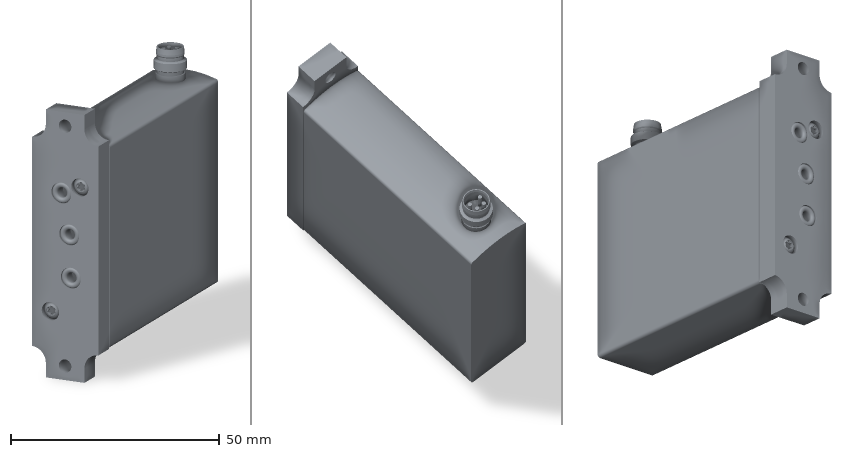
import cadquery as cq
import math

plate_width = 17.8
plate_height = 67.25
plate_thickness = 5.8
shoulder_height = 7.4
corner_notch_radius = 3.7
mount_hole_diameter = 3.3
mount_hole_end_distance = 3.5

overall_depth = 65.8
body_bottom = shoulder_height
body_top = plate_height - shoulder_height
crown_rise = 1.5
corner_radius = 0.75
seam_depth = 0.2
seam_length = 0.3

connector_y = 57.8
connector_top = 67.85
base_radius = 7.2 / 2
base_top = 61.3
neck_radius = 6.5 / 2
collar_radius = 8.0 / 2
collar_bottom = 62.5
collar_top = 64.5
collar_bevel_height = 0.35
lip_radius = 6.9 / 2
lip_bottom = 66.0
lip_top = 66.55
lip_bevel_height = 0.3
bore_radius = 5.8 / 2
bore_mouth_radius = 6.1 / 2
bore_lead_in = 0.7
bore_depth = 4.1
pin_diameter = 1.0
pin_recess = 0.6
pin_root = 0.35
pin_offsets = [(1.1, 1.5), (1.6, -0.5)]

ring_centres = [(-1.0, 46.8), (1.1, 36.6), (1.5, 25.8)]
ring_outer_diameter = 5.3
port_diameter = 2.5
port_depth = 3.4

screw_centres = [(3.95, 48.85), (-3.95, 16.75)]
screw_diameter = 4.6
dome_crown_depth = 0.15
dome_radius = 2.7
socket_mouth_diameter = 2.5
socket_mouth_depth = 0.7
socket_outer_diameter = 2.4
socket_core_diameter = 1.75
socket_lobe_diameter = 0.6
socket_lobes = 6
socket_depth = 1.5


def rod_from_front(x, z, diameter, length):
    """Cylinder along +Y that starts on the plate front."""
    return cq.Workplane("XZ", origin=(x, 0, z)).circle(diameter / 2).extrude(-length)


def make_plate():
    half = plate_width / 2
    neck = half - corner_notch_radius
    low_tangent = shoulder_height - corner_notch_radius
    high_tangent = plate_height - low_tangent
    high_shoulder = plate_height - shoulder_height
    diagonal = corner_notch_radius * math.sqrt(0.5)
    mid_x = half - diagonal
    low_mid = low_tangent + diagonal
    high_mid = high_tangent - diagonal

    plate = (
        cq.Workplane("XZ")
        .moveTo(-neck, 0)
        .lineTo(neck, 0)
        .lineTo(neck, low_tangent)
        .threePointArc((mid_x, low_mid), (half, shoulder_height))
        .lineTo(half, high_shoulder)
        .threePointArc((mid_x, high_mid), (neck, high_tangent))
        .lineTo(neck, plate_height)
        .lineTo(-neck, plate_height)
        .lineTo(-neck, high_tangent)
        .threePointArc((-mid_x, high_mid), (-half, high_shoulder))
        .lineTo(-half, shoulder_height)
        .threePointArc((-mid_x, low_mid), (-neck, low_tangent))
        .close()
        .extrude(-plate_thickness)
    )
    for z in (mount_hole_end_distance, plate_height - mount_hole_end_distance):
        plate = plate.cut(rod_from_front(0, z, mount_hole_diameter, plate_thickness))
    return plate


def make_body_block(inset, y_start, y_end):
    """Crowned bar with rounded long edges, its section shrunk by inset all round."""
    half = plate_width / 2 - inset
    bottom = body_bottom + inset
    top = body_top - inset
    crown_edge = top - crown_rise
    bar = (
        cq.Workplane("XZ", origin=(0, y_start, 0))
        .moveTo(-half, bottom)
        .lineTo(half, bottom)
        .lineTo(half, crown_edge)
        .threePointArc((0, top), (-half, crown_edge))
        .close()
        .extrude(y_start - y_end)
    )
    return bar.edges("|Y").fillet(corner_radius)


def make_body():
    seam_end = plate_thickness + seam_length
    seam = make_body_block(seam_depth, plate_thickness, seam_end)
    return make_body_block(0, seam_end, overall_depth).union(seam)


def make_connector():
    root = body_top - crown_rise
    floor = connector_top - bore_depth
    shell = (
        cq.Workplane("XZ")
        .moveTo(0, root)
        .lineTo(base_radius, root)
        .lineTo(base_radius, base_top)
        .lineTo(neck_radius, base_top)
        .lineTo(neck_radius, collar_bottom - collar_bevel_height)
        .lineTo(collar_radius, collar_bottom)
        .lineTo(collar_radius, collar_top)
        .lineTo(neck_radius, collar_top + collar_bevel_height)
        .lineTo(neck_radius, lip_bottom - lip_bevel_height)
        .lineTo(lip_radius, lip_bottom)
        .lineTo(lip_radius, lip_top)
        .lineTo(neck_radius, connector_top)
        .lineTo(bore_mouth_radius, connector_top)
        .lineTo(bore_radius, connector_top - bore_lead_in)
        .lineTo(bore_radius, floor)
        .lineTo(0, floor)
        .close()
        .revolve(360, (0, 0, 0), (0, 1, 0))
    )
    pin_points = [(side * x, y) for x, y in pin_offsets for side in (-1, 1)]
    pins = (
        cq.Workplane("XY", origin=(0, 0, floor - pin_root))
        .pushPoints(pin_points)
        .circle(pin_diameter / 2)
        .extrude(pin_root + bore_depth - pin_recess)
    )
    return shell.union(pins).translate((0, connector_y, 0))


def add_ring_port(part, x, z):
    """Half-buried round-section ring, flush with the front, round a blind hole."""
    tube_radius = (ring_outer_diameter - port_diameter) / 4
    centre_radius = (ring_outer_diameter + port_diameter) / 4
    ring = cq.Solid.makeTorus(
        centre_radius, tube_radius, cq.Vector(x, tube_radius, z), cq.Vector(0, 1, 0)
    )
    pocket = rod_from_front(x, z, ring_outer_diameter, tube_radius)
    port = rod_from_front(x, z, port_diameter, port_depth)
    return part.cut(pocket).union(cq.Workplane(ring)).cut(port)


def add_screw_head(part, x, z):
    """Recess whose floor is the domed head, with a round-mouthed socket cut into the dome."""
    radius = screw_diameter / 2
    dome_edge_depth = dome_crown_depth + dome_radius - math.sqrt(dome_radius**2 - radius**2)
    recess = (
        cq.Workplane("XY")
        .moveTo(0, 0)
        .lineTo(radius, 0)
        .lineTo(radius, dome_edge_depth)
        .radiusArc((0, dome_crown_depth), dome_radius)
        .close()
        .revolve(360, (0, 0, 0), (0, 1, 0))
        .translate((x, 0, z))
    )
    socket = rod_from_front(x, z, socket_core_diameter, socket_depth)
    lobe_reach = (socket_outer_diameter - socket_lobe_diameter) / 2
    for index in range(socket_lobes):
        angle = math.radians(90 + index * 360 / socket_lobes)
        lobe_x = x + lobe_reach * math.cos(angle)
        lobe_z = z + lobe_reach * math.sin(angle)
        socket = socket.union(rod_from_front(lobe_x, lobe_z, socket_lobe_diameter, socket_depth))
    mouth = rod_from_front(x, z, socket_mouth_diameter, socket_mouth_depth)
    return part.cut(recess).cut(mouth).cut(socket)


result = make_plate().union(make_body()).union(make_connector())
for ring_x, ring_z in ring_centres:
    result = add_ring_port(result, ring_x, ring_z)
for screw_x, screw_z in screw_centres:
    result = add_screw_head(result, screw_x, screw_z)